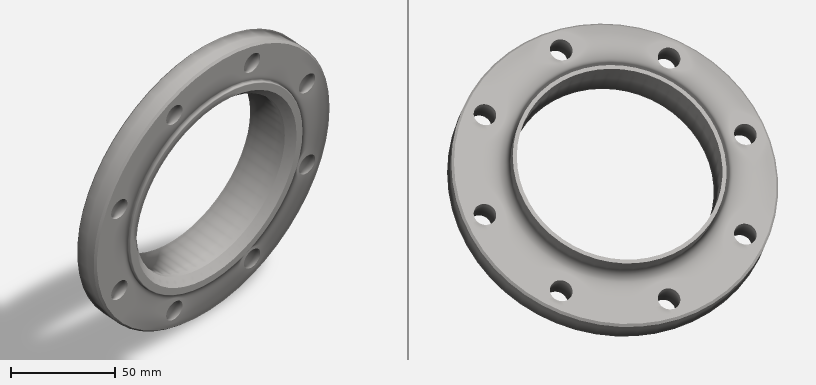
import cadquery as cq
import math

total_length = 27.5
neck_length = 12.0
flange_thickness = 13.4

flange_diameter = 159.0
bore_diameter = 100.0
neck_diameter = 104.0
raised_face_diameter = 116.5

neck_fillet = 4.0
flange_chamfer = 1.1
raised_face_fillet = 0.5
bore_chamfer = 4.0

bolt_count = 8
bolt_circle_diameter = 137.0
bolt_hole_diameter = 11.0

flange_back = neck_length + flange_thickness


def flange_body():
    """Revolve the radial half-section of the neck, flange and raised face about X."""
    bore_radius = bore_diameter / 2
    neck_radius = neck_diameter / 2
    flange_radius = flange_diameter / 2
    raised_radius = raised_face_diameter / 2
    arc_middle_ratio = 1 - math.sqrt(0.5)
    neck_offset = neck_fillet * arc_middle_ratio
    raised_offset = raised_face_fillet * arc_middle_ratio
    section = (
        cq.Workplane("XY")
        .moveTo(0, bore_radius)
        .lineTo(0, neck_radius)
        .lineTo(neck_length - neck_fillet, neck_radius)
        .threePointArc(
            (neck_length - neck_offset, neck_radius + neck_offset),
            (neck_length, neck_radius + neck_fillet),
        )
        .lineTo(neck_length, flange_radius - flange_chamfer)
        .lineTo(neck_length + flange_chamfer, flange_radius)
        .lineTo(flange_back - flange_chamfer, flange_radius)
        .lineTo(flange_back, flange_radius - flange_chamfer)
        .lineTo(flange_back, raised_radius + raised_face_fillet)
        .threePointArc(
            (flange_back + raised_offset, raised_radius + raised_offset),
            (flange_back + raised_face_fillet, raised_radius),
        )
        .lineTo(total_length - raised_face_fillet, raised_radius)
        .threePointArc(
            (total_length - raised_offset, raised_radius - raised_offset),
            (total_length, raised_radius - raised_face_fillet),
        )
        .lineTo(total_length, bore_radius + bore_chamfer)
        .lineTo(total_length - bore_chamfer, bore_radius)
        .close()
    )
    return section.revolve(360, (0, 0, 0), (1, 0, 0))


def bolt_holes():
    """Axial drills on the bolt circle, straddling the Y and Z axes."""
    half_pitch_angle = 180 / bolt_count
    return (
        cq.Workplane("YZ")
        .polarArray(bolt_circle_diameter / 2, half_pitch_angle, 360, bolt_count)
        .circle(bolt_hole_diameter / 2)
        .extrude(total_length)
    )


result = flange_body().cut(bolt_holes())